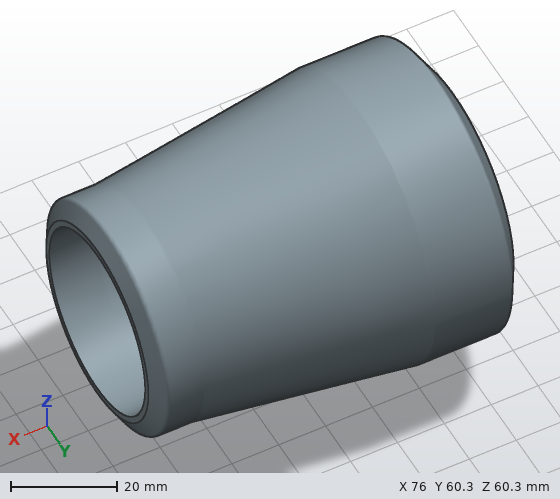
import cadquery as cq
import math

length = 76.0
large_radius = 60.3 / 2
small_radius = 48.3 / 2
large_bore_radius = 44.3 / 2
small_bore_radius = 38.3 / 2

taper_start = 20.1
taper_end = 66.0
bore_taper_start = 12.2

large_land = 2.0
small_land = 1.3
bevel_angle = math.radians(30)
bevel_rounding = 1.0

taper_rounding = 2.0

rim_search = 0.1


def bevel_depth(outer_radius, bore_radius, land):
    """Axial depth of a bevel that leaves a flat land around the bore."""
    return (outer_radius - bore_radius - land) * math.tan(bevel_angle)


large_bevel = bevel_depth(large_radius, large_bore_radius, large_land)
small_bevel = bevel_depth(small_radius, small_bore_radius, small_land)


def revolve_about_x(profile):
    return profile.close().revolve(360, (0, 0, 0), (1, 0, 0))


body = revolve_about_x(
    cq.Workplane("XY")
    .lineTo(0, large_bore_radius + large_land)
    .lineTo(large_bevel, large_radius)
    .lineTo(taper_start, large_radius)
    .lineTo(taper_end, small_radius)
    .lineTo(length - small_bevel, small_radius)
    .lineTo(length, small_bore_radius + small_land)
    .lineTo(length, 0)
)


def round_rim(solid, rim_x, radius):
    """Fillet the circular edge of the solid that lies at rim_x."""
    near_rim = cq.selectors.BoxSelector(
        (rim_x - rim_search, -length, -length),
        (rim_x + rim_search, length, length),
        boundingbox=True,
    )
    return solid.edges(near_rim).edges("%CIRCLE").fillet(radius)


for bevel_rim in (large_bevel, length - small_bevel):
    body = round_rim(body, bevel_rim, bevel_rounding)
for taper_rim in (taper_start, taper_end):
    body = round_rim(body, taper_rim, taper_rounding)

bore = revolve_about_x(
    cq.Workplane("XY")
    .lineTo(0, large_bore_radius)
    .lineTo(bore_taper_start, large_bore_radius)
    .lineTo(taper_end, small_bore_radius)
    .lineTo(length, small_bore_radius)
    .lineTo(length, 0)
)

result = body.cut(bore)